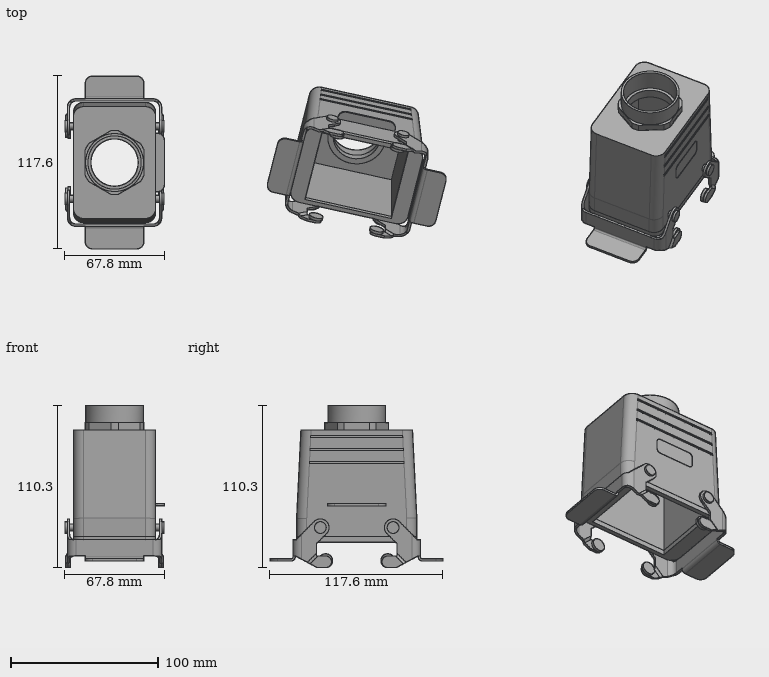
import cadquery as cq
import math


PIN_Z = 27.3
FRAME_BOTTOM = 17.3
FRAME_TOP = 21.2
DRAFT_START = 33.6
HOUSING_TOP = 93.6
HEX_TOP = 98.7
GLAND_TOP = 110.3

HOUSING_HALF_X = 28.0
HOUSING_HALF_Y = 40.9
TOP_HALF_Y = 38.0
CORNER_RADIUS = 6.9
SIDE_WALL = 2.9
ROOF = 4.9
CAVITY_HALF_X = HOUSING_HALF_X - SIDE_WALL
CAVITY_HALF_Y = 30.1
GROOVE_TOPS = (89.8, 80.9, 72.3)
GROOVE_WIDTH = 1.4
GROOVE_DEPTH = 0.9
LABEL_LENGTH = 29.9
LABEL_HEIGHT = 12.0
LABEL_Z = 57.6
LABEL_RADIUS = 2.9
LABEL_DEPTH = 0.2

SHEET = 1.6
GRIP_HALF_WIDTH = 20.0
GRIP_RADIUS = 5.0
TAB_TOP = 43.6
TAB_END_X = 34.0

PIN_Y = 24.7
PIN_DIAMETER = 4.9
PIN_HOLE_DIAMETER = 5.0
PIN_HEAD_DIAMETER = 8.0
PIN_END_X = 33.8

HEX_FLATS = 40.0
HEX_ROUND_DIAMETER = 43.5
NECK_DIAMETER = 39.4
NECK_BORE = 36.2
CABLE_BORE = 32.0
LEDGE_Z = 95.3

LEVER_HALF_X = 32.1
LEVER_Y = 43.4
LEVER_CORNER = 5.9
STRAP_BOTTOM = 8.0
STRAP_TOP = 19.0
EYE_RADIUS = 5.9
ARM_INNER_Y = 27.3
HOOK_Y = 21.2
HOOK_RADIUS = STRAP_BOTTOM / 2
HOOK_TOE_Y = 26.9
HOOK_HEEL_Y = LEVER_Y - SHEET
JOGGLE_OFFSET = 1.3
JOGGLE_LENGTH = 2.0
JOGGLE_Y = 37.2
ROLLER_DIAMETER = 9.5
ROLLER_LENGTH = 1.9
GRIP_END_Y = 58.8
GRIP_TOP = 6.1
BEND_RADIUS = 1.2


def cylinder_x(diameter, y, z, x_start, x_end):
    """Cylinder along X between two X positions."""
    plane = cq.Workplane("YZ", origin=(x_start, y, z))
    return plane.circle(diameter / 2).extrude(x_end - x_start)


def flat_half_y(z):
    """Half length of the flat +X and -X faces at a height in the drafted zone."""
    share = (z - DRAFT_START) / (HOUSING_TOP - DRAFT_START)
    return HOUSING_HALF_Y + share * (TOP_HALF_Y - HOUSING_HALF_Y) - CORNER_RADIUS


def drafted_block():
    """Outer shape of the housing: end faces upright at first, then drafted, with rounded corners."""
    outline = [
        (-HOUSING_HALF_Y, FRAME_TOP),
        (HOUSING_HALF_Y, FRAME_TOP),
        (HOUSING_HALF_Y, DRAFT_START),
        (TOP_HALF_Y, HOUSING_TOP),
        (-TOP_HALF_Y, HOUSING_TOP),
        (-HOUSING_HALF_Y, DRAFT_START),
    ]
    block = cq.Workplane("YZ").polyline(outline).close().extrude(HOUSING_HALF_X, both=True)
    return block.edges("not(|X or |Y)").fillet(CORNER_RADIUS)


def cavity(bottom, top):
    """Straight rectangular opening between two heights."""
    base = cq.Workplane("XY", origin=(0, 0, bottom))
    return base.rect(2 * CAVITY_HALF_X, 2 * CAVITY_HALF_Y).extrude(top - bottom)


def cut_grooves(body):
    """Three horizontal grooves across each long side."""
    for side in (-1, 1):
        for groove_top in GROOVE_TOPS:
            groove_bottom = groove_top - GROOVE_WIDTH
            upper = flat_half_y(groove_top)
            lower = flat_half_y(groove_bottom)
            groove = (
                cq.Workplane("YZ", origin=(side * HOUSING_HALF_X, 0, 0))
                .polyline([
                    (-lower, groove_bottom),
                    (lower, groove_bottom),
                    (upper, groove_top),
                    (-upper, groove_top),
                ])
                .close()
                .extrude(-side * GROOVE_DEPTH)
            )
            body = body.cut(groove)
    return body


def cut_label_panel(body):
    """Shallow recessed panel on the -X side."""
    panel = (
        cq.Workplane("XY")
        .box(2 * LABEL_DEPTH, LABEL_LENGTH, LABEL_HEIGHT)
        .edges("|X")
        .fillet(LABEL_RADIUS)
        .translate((-HOUSING_HALF_X, 0, LABEL_Z))
    )
    return body.cut(panel)


def side_tab():
    """Flat tab with rounded corners on the +X side."""
    length = TAB_END_X - HOUSING_HALF_X + SIDE_WALL / 2
    return (
        cq.Workplane("XY")
        .box(length, 2 * GRIP_HALF_WIDTH, SHEET)
        .edges("|Z and >X")
        .fillet(GRIP_RADIUS)
        .translate((TAB_END_X - length / 2, 0, TAB_TOP - SHEET / 2))
    )


def pivot_pin(side, y):
    """Headed pin that sticks out of one side of the housing and carries a lever."""
    root = HOUSING_HALF_X - SIDE_WALL / 2
    shaft = cylinder_x(PIN_DIAMETER, y, PIN_Z, side * root, side * LEVER_HALF_X)
    head = cylinder_x(PIN_HEAD_DIAMETER, y, PIN_Z, side * LEVER_HALF_X, side * PIN_END_X)
    return shaft.union(head)


def make_housing():
    body = drafted_block()
    body = body.cut(cavity(FRAME_TOP, HOUSING_TOP - ROOF))
    gland_hole = cq.Workplane("XY", origin=(0, 0, HOUSING_TOP)).circle(NECK_DIAMETER / 2).extrude(-ROOF)
    body = body.cut(gland_hole)
    body = cut_grooves(body)
    body = cut_label_panel(body)
    body = body.union(side_tab())
    for side in (-1, 1):
        for y in (-PIN_Y, PIN_Y):
            body = body.union(pivot_pin(side, y))
    return body


def make_frame():
    """Frame that closes the lower rim of the housing, flush with its walls."""
    base = cq.Workplane("XY", origin=(0, 0, FRAME_BOTTOM))
    height = FRAME_TOP - FRAME_BOTTOM
    outer = base.rect(2 * HOUSING_HALF_X, 2 * HOUSING_HALF_Y).extrude(height)
    outer = outer.edges("|Z").fillet(CORNER_RADIUS)
    return outer.cut(cavity(FRAME_BOTTOM, FRAME_TOP))


def make_gland():
    """Hexagonal collar with rounded corners, on a round neck that passes through the roof."""
    gland_bottom = HOUSING_TOP - ROOF
    collar_base = cq.Workplane("XY", origin=(0, 0, HOUSING_TOP))
    neck_base = cq.Workplane("XY", origin=(0, 0, gland_bottom))
    bore_base = cq.Workplane("XY", origin=(0, 0, LEDGE_Z))
    collar_height = HEX_TOP - HOUSING_TOP
    neck_height = GLAND_TOP - gland_bottom
    across_corners = HEX_FLATS / math.cos(math.pi / 6)

    collar = collar_base.transformed(rotate=(0, 0, 30)).polygon(6, across_corners).extrude(collar_height)
    rounding = collar_base.circle(HEX_ROUND_DIAMETER / 2).extrude(collar_height)
    neck = neck_base.circle(NECK_DIAMETER / 2).extrude(neck_height)
    cable_bore = neck_base.circle(CABLE_BORE / 2).extrude(neck_height)
    neck_bore = bore_base.circle(NECK_BORE / 2).extrude(GLAND_TOP - LEDGE_Z)
    return collar.intersect(rounding).union(neck).cut(cable_bore).cut(neck_bore)


def lever_outline():
    """Side outline of the lever: eye, arm, strap and hook, as a block right across the hood."""
    diagonal = EYE_RADIUS * math.sqrt(0.5)
    eye_far = (-PIN_Y - diagonal, PIN_Z + diagonal)
    eye_near = (-PIN_Y + diagonal, PIN_Z - diagonal)
    eye_tip = (-PIN_Y + diagonal, PIN_Z + diagonal)
    strap_corner_y = eye_far[0] - (eye_far[1] - STRAP_TOP)
    arm_corner_z = eye_near[1] - (eye_near[0] + ARM_INNER_Y)
    return (
        cq.Workplane("YZ")
        .moveTo(-LEVER_Y, STRAP_BOTTOM)
        .lineTo(-LEVER_Y, STRAP_TOP)
        .lineTo(strap_corner_y, STRAP_TOP)
        .lineTo(*eye_far)
        .threePointArc(eye_tip, eye_near)
        .lineTo(-ARM_INNER_Y, arm_corner_z)
        .lineTo(-ARM_INNER_Y, STRAP_BOTTOM)
        .lineTo(-HOOK_Y, STRAP_BOTTOM)
        .threePointArc((-HOOK_Y + HOOK_RADIUS, HOOK_RADIUS), (-HOOK_Y, 0))
        .lineTo(-HOOK_TOE_Y, 0)
        .lineTo(-HOOK_HEEL_Y, STRAP_BOTTOM)
        .close()
        .extrude(LEVER_HALF_X + JOGGLE_OFFSET, both=True)
    )


def bent_strip():
    """U-shaped strip around one end of the hood, tall enough for the whole lever."""
    height = PIN_Z + EYE_RADIUS
    length = LEVER_Y

    def rounded_block(inset):
        half_x = LEVER_HALF_X - inset
        block = cq.Workplane("XY").box(2 * half_x, length - inset, height, centered=(True, False, False))
        block = block.translate((0, inset - LEVER_Y, 0))
        return block.edges("|Z and <Y").fillet(LEVER_CORNER - inset)

    return rounded_block(0).cut(rounded_block(SHEET))


def joggle_plane():
    """Plane across the 45 degree bend lines: its x runs towards the hook, its y along +X."""
    return cq.Plane(origin=(0, -JOGGLE_Y, 0), xDir=(0, 1, -1), normal=(0, -1, -1))


def joggled_strip():
    """Pair of strips that step outwards across the 45 degree bend and run on to the hooks."""
    reach = LEVER_Y
    inner = LEVER_HALF_X - SHEET
    strips = cq.Workplane("XY")
    for side in (-1, 1):
        section = [
            (0, side * inner),
            (0, side * LEVER_HALF_X),
            (JOGGLE_LENGTH, side * (LEVER_HALF_X + JOGGLE_OFFSET)),
            (reach, side * (LEVER_HALF_X + JOGGLE_OFFSET)),
            (reach, side * (inner + JOGGLE_OFFSET)),
            (JOGGLE_LENGTH, side * (inner + JOGGLE_OFFSET)),
        ]
        strip = cq.Workplane(joggle_plane()).polyline(section).close().extrude(reach, both=True)
        strips = strips.union(strip)
    return strips


def hook_zone():
    """Everything beyond the first bend line, on the hook side of it."""
    reach = LEVER_Y
    zone = cq.Workplane(joggle_plane()).center(reach / 2, 0).rect(reach, 4 * LEVER_HALF_X)
    return zone.extrude(reach, both=True)


def grip():
    """Tang below the strap, bent outwards into a flat grip with rounded corners."""
    bend_y = -LEVER_Y - BEND_RADIUS
    bend_z = GRIP_TOP + BEND_RADIUS
    outer_bend = BEND_RADIUS + SHEET
    half = math.sqrt(0.5)
    section = (
        cq.Workplane("YZ")
        .moveTo(-LEVER_Y, STRAP_BOTTOM)
        .lineTo(-LEVER_Y, bend_z)
        .threePointArc((bend_y + BEND_RADIUS * half, bend_z - BEND_RADIUS * half), (bend_y, GRIP_TOP))
        .lineTo(-GRIP_END_Y, GRIP_TOP)
        .lineTo(-GRIP_END_Y, GRIP_TOP - SHEET)
        .lineTo(bend_y, GRIP_TOP - SHEET)
        .threePointArc(
            (bend_y + outer_bend * half, bend_z - outer_bend * half),
            (bend_y + outer_bend, bend_z),
        )
        .lineTo(bend_y + outer_bend, STRAP_BOTTOM)
        .close()
    )
    return section.extrude(GRIP_HALF_WIDTH, both=True).edges("|Z and <Y").fillet(GRIP_RADIUS)


def make_lever():
    """Lever on the -Y side: strap and arms, joggled hooks with rollers, grip and pin holes."""
    outline = lever_outline()
    lever = bent_strip().cut(hook_zone()).union(joggled_strip()).intersect(outline)
    lever = lever.union(grip())
    roller_end = LEVER_HALF_X - SHEET + JOGGLE_OFFSET
    for side in (-1, 1):
        outer_x = side * roller_end
        inner_x = side * (roller_end - ROLLER_LENGTH)
        roller = cylinder_x(ROLLER_DIAMETER, -HOOK_Y, ROLLER_DIAMETER / 2, inner_x, outer_x)
        lever = lever.union(roller)
    pin_holes = cylinder_x(PIN_HOLE_DIAMETER, -PIN_Y, PIN_Z, -LEVER_HALF_X, LEVER_HALF_X)
    return lever.cut(pin_holes)


housing = make_housing()
frame = make_frame()
gland = make_gland()
lever = make_lever()
levers = [lever.rotate((0, 0, 0), (0, 0, 1), angle) for angle in (0, 180)]

result = cq.Compound.makeCompound(
    [housing.val(), frame.val(), gland.val(), *[body.val() for body in levers]]
)